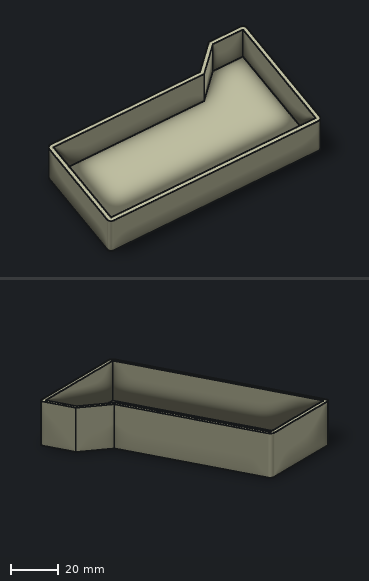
import cadquery as cq

width = 62.0
length = 107.0
height = 20.0

wall = 2.0
floor = 2.0
corner_radius = 2.0

step = 12.0
wide_end_length = 18.0

right = width / 2
left = -width / 2
back = length / 2
front = -length / 2
narrow_left = left + step
slant_back = back - wide_end_length
slant_front = slant_back - step

outline = (
    cq.Workplane("XY")
    .polyline([
        (narrow_left, front),
        (right, front),
        (right, back),
        (left, back),
        (left, slant_back),
        (narrow_left, slant_front),
    ])
    .close()
)

cavity = (
    outline.toPending()
    .offset2D(-wall, "intersection")
    .extrude(height - floor)
    .translate((0, 0, floor))
)

body = outline.toPending().extrude(height)
square_corners = [(narrow_left, front), (right, front), (right, back), (left, back)]
for x, y in square_corners:
    nearest_edge = cq.selectors.NearestToPointSelector((x, y, height / 2))
    body = body.edges("|Z").edges(nearest_edge).fillet(corner_radius)

result = body.cut(cavity)